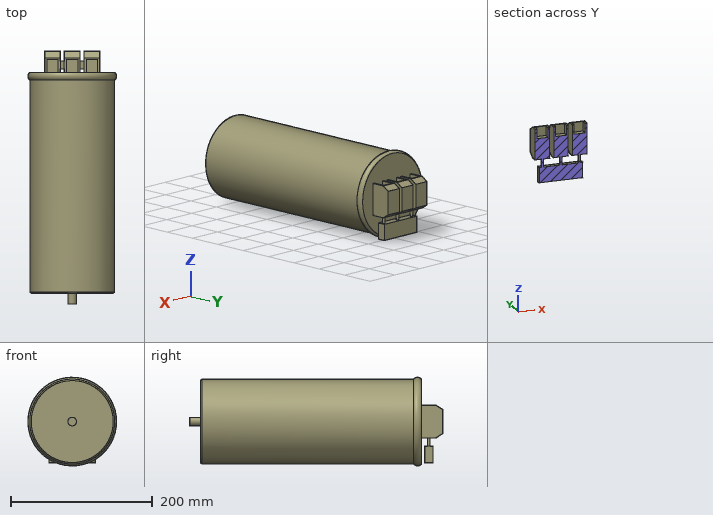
import cadquery as cq


overall_length = 357.0
stud_length = 15.0
terminal_length = 30.0
rim_length = 11.0

can_radius = 60.0
base_chamfer = 2.0
stud_radius = 6.0
cap_y = overall_length - stud_length - terminal_length
rim_start_y = cap_y - rim_length
rim_diameter = 125.3
rim_radius = rim_diameter / 2

terminal_pitch = 28.0
terminal_offsets = (-terminal_pitch, 0, terminal_pitch)
terminal_width = 22.5
terminal_height = 46.5
terminal_tip_y = cap_y + terminal_length
chamfer_length = 9.5
chamfer_drop = 6.0

pocket_width = 16.0
pocket_lip = 2.0
pocket_length = terminal_length - chamfer_length - pocket_lip
pocket_depth = 14.3

bar_width = 65.7
bar_thickness = 11.8
bar_height = 23.5
bar_bottom_z = -58.2
bar_center_y = cap_y + 10.5
pin_radius = 1.95


def make_can():
    """Revolve the stud, can and bulged rim as one profile about the Y axis."""
    return (
        cq.Workplane("XY")
        .moveTo(0, -stud_length)
        .lineTo(stud_radius, -stud_length)
        .lineTo(stud_radius, 0)
        .lineTo(can_radius - base_chamfer, 0)
        .lineTo(can_radius, base_chamfer)
        .lineTo(can_radius, rim_start_y)
        .threePointArc((rim_radius, rim_start_y + rim_length / 2), (can_radius, cap_y))
        .lineTo(0, cap_y)
        .close()
        .revolve(360, (0, 0, 0), (0, 1, 0))
    )


def make_terminal(center_x):
    """Block with sloped outer corners and a wire pocket in its top."""
    half_height = terminal_height / 2
    half_tip = half_height - chamfer_drop
    shoulder_y = terminal_tip_y - chamfer_length
    block = (
        cq.Workplane("YZ", origin=(center_x, 0, 0))
        .polyline([
            (cap_y, -half_height),
            (shoulder_y, -half_height),
            (terminal_tip_y, -half_tip),
            (terminal_tip_y, half_tip),
            (shoulder_y, half_height),
            (cap_y, half_height),
        ])
        .close()
        .extrude(terminal_width / 2, both=True)
    )
    pocket_floor_z = half_height - pocket_depth
    pocket = cq.Workplane("XY", origin=(center_x, cap_y, pocket_floor_z)).box(
        pocket_width, pocket_length, pocket_depth, centered=(True, False, False)
    )
    return block.cut(pocket)


def make_pin(center_x):
    """Round pin from the underside of a terminal down to the bar."""
    bar_top_z = bar_bottom_z + bar_height
    pin_length = -terminal_height / 2 - bar_top_z
    return (
        cq.Workplane("XY", origin=(center_x, bar_center_y, bar_top_z))
        .circle(pin_radius)
        .extrude(pin_length)
    )


def make_bar():
    """Plain rectangular bar running across all three terminals."""
    return cq.Workplane("XY", origin=(0, bar_center_y, bar_bottom_z)).box(
        bar_width, bar_thickness, bar_height, centered=(True, True, False)
    )


result = make_can().union(make_bar())
for offset in terminal_offsets:
    result = result.union(make_terminal(offset)).union(make_pin(offset))